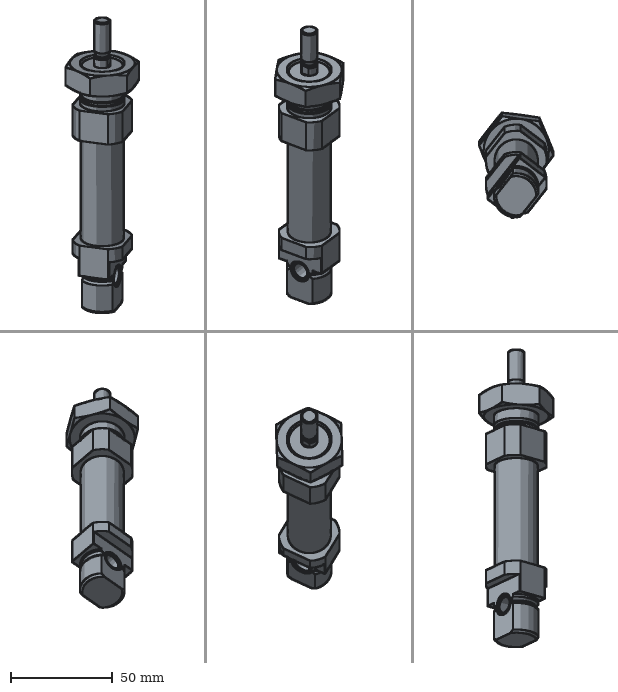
import cadquery as cq
import math

TAIL_TOP = 19.9
SLAB_TOP = 29.0
REAR_BLOCK_TOP = 36.0
FRONT_BLOCK_BOTTOM = 91.8
FRONT_BLOCK_TOP = 107.9
NUT_BOTTOM = 118.0
NUT_TOP = 129.0
ROD_TOP = 152.0

TUBE_DIAMETER = 21.3
BLOCK_WIDTH = 26.0
BLOCK_CORNER_DIAMETER = 30.0
COLLAR_DIAMETER = 22.0
SPIGOT_DIAMETER = 20.0

UNDERCUT_DIAMETER = 19.8
UNDERCUT_BOTTOM = 110.4
UNDERCUT_TOP = 111.7

SLAB_THICKNESS = 16.0
TAIL_GROOVE_HEIGHT = 3.3
TAIL_GROOVE_DEPTH = 1.4
TAIL_CHAMFER = 1.2
PIVOT_HEIGHT = 16.9
PIVOT_DIAMETER = 8.0
PIVOT_SINK_DIAMETER = 11.0
PIVOT_SHELF_DIAMETER = 9.5

NUT_ACROSS_FLATS = 32.0
NUT_CHAMFER_ANGLE = 20.0
BORE_CHAMFER = (COLLAR_DIAMETER - SPIGOT_DIAMETER) / 2

ROD_DIAMETER = 8.0
ROD_FLATS_WIDTH = 7.0
NECK_DIAMETER = 6.4
ROD_CHAMFER = 0.6
THREAD_END = 135.9
NECK_TOP = 133.5
NECK_BOTTOM = 133.0
SHANK_TOP = 132.4

SPIGOT_TOP = NUT_TOP - BORE_CHAMFER


def cylinder(diameter, bottom, top):
    return cq.Workplane("XY").workplane(offset=bottom).circle(diameter / 2).extrude(top - bottom)


def box(size_x, size_y, bottom, top):
    return cq.Workplane("XY").workplane(offset=bottom).rect(size_x, size_y).extrude(top - bottom)


def revolve_profile(points):
    """Turn a closed (radius, height) outline about the Z axis."""
    return cq.Workplane("XZ").polyline(points).close().revolve(360, (0, 0, 0), (0, 1, 0))


def square_block(bottom, top):
    """Square block whose corners are turned round."""
    return box(BLOCK_WIDTH, BLOCK_WIDTH, bottom, top).intersect(
        cylinder(BLOCK_CORNER_DIAMETER, bottom, top)
    )


def make_tail():
    """Round tail with a chamfered end and a tapered groove level with the pivot hole."""
    radius = COLLAR_DIAMETER / 2
    groove_radius = radius - TAIL_GROOVE_DEPTH
    groove_bottom = PIVOT_HEIGHT - TAIL_GROOVE_HEIGHT / 2
    groove_top = PIVOT_HEIGHT + TAIL_GROOVE_HEIGHT / 2
    return revolve_profile([
        (0, 0),
        (radius - TAIL_CHAMFER, 0),
        (radius, TAIL_CHAMFER),
        (radius, groove_bottom),
        (groove_radius, groove_bottom + TAIL_GROOVE_DEPTH),
        (groove_radius, groove_top - TAIL_GROOVE_DEPTH),
        (radius, groove_top),
        (radius, TAIL_TOP),
        (0, TAIL_TOP),
    ])


def make_rear_end():
    """Tail and rear block, flattened into a slab below the full-width part."""
    rear = make_tail().union(square_block(TAIL_TOP, REAR_BLOCK_TOP))
    slab = box(SLAB_THICKNESS, BLOCK_WIDTH, 0, SLAB_TOP)
    full_width = box(BLOCK_WIDTH, BLOCK_WIDTH, SLAB_TOP, REAR_BLOCK_TOP)
    return rear.intersect(slab.union(full_width))


def make_pivot_hole():
    """Cross hole along X, with a shelf and a countersink on both faces of the slab."""
    half = SLAB_THICKNESS / 2
    hole_radius = PIVOT_DIAMETER / 2
    sink_radius = PIVOT_SINK_DIAMETER / 2
    shelf_radius = PIVOT_SHELF_DIAMETER / 2
    sink_depth = sink_radius - shelf_radius
    outline = [
        (-half, 0),
        (-half, sink_radius),
        (-half + sink_depth, shelf_radius),
        (-half + sink_depth, hole_radius),
        (half - sink_depth, hole_radius),
        (half - sink_depth, shelf_radius),
        (half, sink_radius),
        (half, 0),
    ]
    hole = cq.Workplane("XZ").polyline(outline).close().revolve(360, (0, 0, 0), (1, 0, 0))
    return hole.translate((0, 0, PIVOT_HEIGHT))


def make_front_neck():
    """Collar with an undercut, then the spigot that carries the nut."""
    collar = COLLAR_DIAMETER / 2
    undercut = UNDERCUT_DIAMETER / 2
    spigot = SPIGOT_DIAMETER / 2
    return revolve_profile([
        (0, FRONT_BLOCK_TOP),
        (collar, FRONT_BLOCK_TOP),
        (collar, UNDERCUT_BOTTOM),
        (undercut, UNDERCUT_BOTTOM),
        (undercut, UNDERCUT_TOP),
        (collar, UNDERCUT_TOP + collar - undercut),
        (collar, NUT_BOTTOM),
        (spigot, NUT_BOTTOM),
        (spigot, SPIGOT_TOP),
        (0, SPIGOT_TOP),
    ])


def make_housing():
    rod_bore = cylinder(ROD_DIAMETER, FRONT_BLOCK_BOTTOM, SPIGOT_TOP)
    return (
        make_rear_end()
        .union(cylinder(TUBE_DIAMETER, REAR_BLOCK_TOP, FRONT_BLOCK_BOTTOM))
        .union(square_block(FRONT_BLOCK_BOTTOM, FRONT_BLOCK_TOP))
        .union(make_front_neck())
        .cut(make_pivot_hole())
        .cut(rod_bore)
    )


def make_nut():
    """Hexagon nut with corners along Y, both rims turned to a cone."""
    flat_radius = NUT_ACROSS_FLATS / 2
    corner_radius = flat_radius / math.cos(math.radians(30))
    rim = (corner_radius - flat_radius) * math.tan(math.radians(NUT_CHAMFER_ANGLE))
    hexagon = (
        cq.Workplane("XY")
        .workplane(offset=NUT_BOTTOM)
        .polygon(6, 2 * corner_radius)
        .extrude(NUT_TOP - NUT_BOTTOM)
        .rotate((0, 0, 0), (0, 0, 1), 90)
    )
    rim_cones = revolve_profile([
        (0, NUT_BOTTOM),
        (flat_radius, NUT_BOTTOM),
        (corner_radius, NUT_BOTTOM + rim),
        (corner_radius, NUT_TOP - rim),
        (flat_radius, NUT_TOP),
        (0, NUT_TOP),
    ])
    bore = revolve_profile([
        (0, NUT_BOTTOM),
        (SPIGOT_DIAMETER / 2, NUT_BOTTOM),
        (SPIGOT_DIAMETER / 2, SPIGOT_TOP),
        (COLLAR_DIAMETER / 2, NUT_TOP),
        (0, NUT_TOP),
    ])
    return hexagon.intersect(rim_cones).cut(bore)


def make_rod():
    """Piston rod with a chamfered tip, a neck and two wrench flats facing X."""
    radius = ROD_DIAMETER / 2
    neck = NECK_DIAMETER / 2
    rod = revolve_profile([
        (0, FRONT_BLOCK_BOTTOM),
        (radius, FRONT_BLOCK_BOTTOM),
        (radius, SHANK_TOP),
        (neck, NECK_BOTTOM),
        (neck, NECK_TOP),
        (radius, THREAD_END),
        (radius, ROD_TOP - ROD_CHAMFER),
        (radius - ROD_CHAMFER, ROD_TOP),
        (0, ROD_TOP),
    ])
    wrench_zone = box(2 * ROD_DIAMETER, ROD_DIAMETER, SPIGOT_TOP, NECK_BOTTOM)
    between_flats = box(ROD_FLATS_WIDTH, ROD_DIAMETER, SPIGOT_TOP, NECK_BOTTOM)
    return rod.cut(wrench_zone.cut(between_flats))


housing = make_housing()
nut = make_nut()
rod = make_rod()

result = cq.Compound.makeCompound([housing.val(), nut.val(), rod.val()])